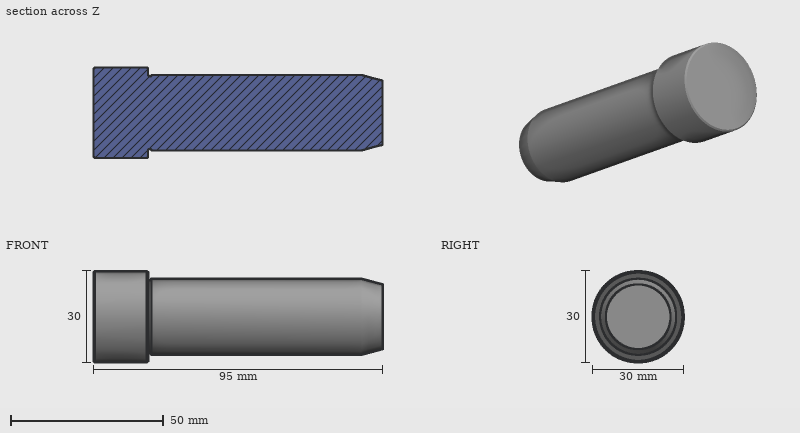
import cadquery as cq
import math

TOTAL_LENGTH = 95.0
HEAD_DIAMETER = 30.0
HEAD_LENGTH = 18.0
HEAD_CHAMFER = 0.5
SHANK_DIAMETER = 25.0

UNDERCUT_RADIUS = 0.5

TAPER_LENGTH = 7.0
TAPER_ANGLE = 15.0

head_radius = HEAD_DIAMETER / 2
shank_radius = SHANK_DIAMETER / 2
tip_radius = shank_radius - TAPER_LENGTH * math.tan(math.radians(TAPER_ANGLE))
taper_start_x = TOTAL_LENGTH - TAPER_LENGTH


def pin_profile():
    """Half section of the pin: X along the axis, Z as the radius."""
    chamfer_radius = head_radius - HEAD_CHAMFER
    undercut_bottom = (HEAD_LENGTH + UNDERCUT_RADIUS, shank_radius - UNDERCUT_RADIUS)
    undercut_end = (HEAD_LENGTH + 2 * UNDERCUT_RADIUS, shank_radius)
    return (
        cq.Workplane("XZ")
        .moveTo(0, 0)
        .lineTo(0, chamfer_radius)
        .lineTo(HEAD_CHAMFER, head_radius)
        .lineTo(HEAD_LENGTH - HEAD_CHAMFER, head_radius)
        .lineTo(HEAD_LENGTH, chamfer_radius)
        .lineTo(HEAD_LENGTH, shank_radius)
        .threePointArc(undercut_bottom, undercut_end)
        .lineTo(taper_start_x, shank_radius)
        .lineTo(TOTAL_LENGTH, tip_radius)
        .lineTo(TOTAL_LENGTH, 0)
        .close()
    )


result = pin_profile().revolve(360, (0, 0, 0), (1, 0, 0))